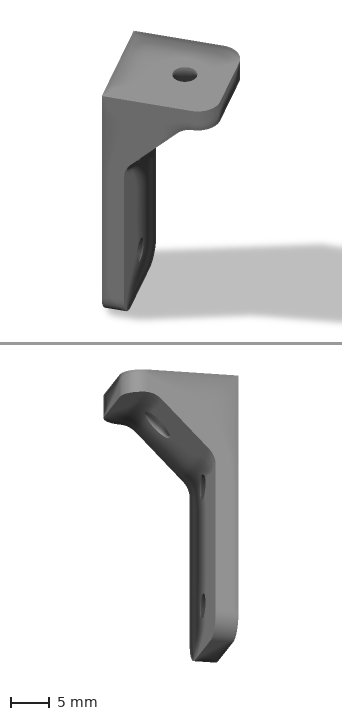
import cadquery as cq

height = 35.0
width = 15.0
thickness = 3.0
corner_radius = 3.0
gusset_size = 8.0
blend_radius = 3.0
hole_diameter = 3.22
flange_hole_x = 9.0
leg_hole_depths = (13.0, 29.0)

half_width = width / 2


def bracket_body():
    """L-shaped profile with a sloped gusset, extruded across the width."""
    flange_underside = height - thickness
    body = (
        cq.Workplane("XZ")
        .polyline([
            (0, 0),
            (thickness, 0),
            (thickness, flange_underside - gusset_size),
            (thickness + gusset_size, flange_underside),
            (width, flange_underside),
            (width, height),
            (0, height),
        ])
        .close()
        .extrude(half_width, both=True)
    )
    gusset_ends = (
        (thickness, flange_underside - gusset_size),
        (thickness + gusset_size, flange_underside),
    )
    for x, z in gusset_ends:
        edge = cq.selectors.NearestToPointSelector((x, 0, z))
        body = body.edges("|Y").edges(edge).fillet(blend_radius)
    return body


def round_free_ends(body):
    """Round the bottom corners of the leg and the outer corners of the flange."""
    body = body.faces("<Z").edges("|X").fillet(corner_radius)
    return body.faces(">X").edges("|Z").fillet(corner_radius)


def drill_holes(body):
    """One vertical hole through the flange, two horizontal ones through the leg."""
    hole_radius = hole_diameter / 2
    flange_hole = cq.Workplane("XY").center(flange_hole_x, 0).circle(hole_radius).extrude(height)
    body = body.cut(flange_hole)
    for depth in leg_hole_depths:
        leg_hole = cq.Workplane("YZ").center(0, height - depth).circle(hole_radius).extrude(width)
        body = body.cut(leg_hole)
    return body


result = drill_holes(round_free_ends(bracket_body()))